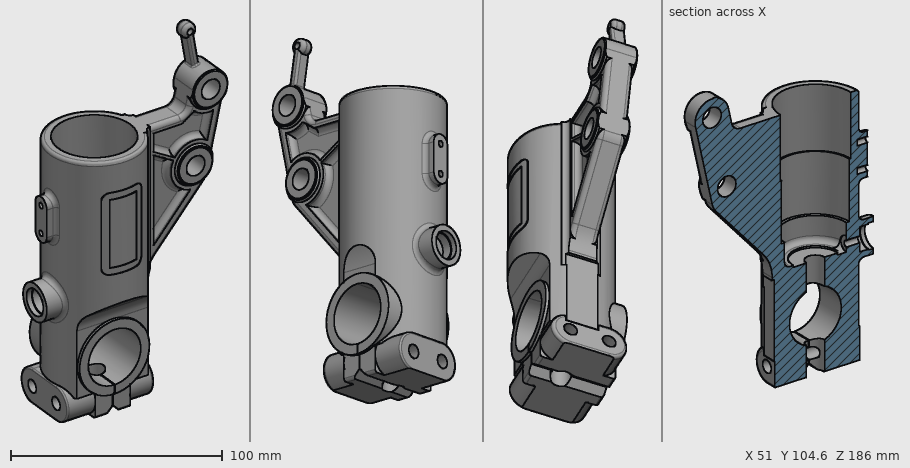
import cadquery as cq
import math

TUBE_R = 25.5
TUBE_TOP = 143.0
TUBE_BASE = 14.0
RIM_FILLET = 1.8
MOUTH_R = 41 / 2
MOUTH_DEPTH = 35.0
BORE_R = 39.5 / 2
SHELF_Z = 75.0
LOWER_BORE_R = 36 / 2
FLOOR_Z = 61.5
FLOOR_FILLET = 3.0
FLOOR_RECESS_R = 13.0
FLOOR_RECESS_DEPTH = 1.0
DRAIN_R = 10.5 / 2

CLAMP_X = -4.0
CLAMP_Z = 31.0
CLAMP_R = 20.0
CLAMP_BORE_R = 15.0
CLAMP_LENGTH = 42.0
SLIT_WIDTH = 0.5
NOTCH_DEPTH = 4.0

LUG_R = 9.5
LUG_Z = 9.0
LUG_PITCH = 20.0
LUG_Y = -1.0
LUG_HALF_Y = 25.0
LUG_FRONT_Y = LUG_Y - LUG_HALF_Y
LUG_REAR_Y = LUG_Y + LUG_HALF_Y
LUG_HOLE_R = 6.8 / 2
LUG_FRONT_FILLET = 0.8
LUG_REAR_FILLET = 1.7
JAW_HALF_Y = 10.0
JAW_HEIGHT = 15.0
JAW_FILLET = 1.5

LEFT_FLAT_X = -23.4
LEFT_HOLLOW_R = 28.0
LEFT_HOLLOW_Z = 54.4
RIGHT_FLAT_X = 15.3
RIGHT_HOLLOW_R = 12.0
RIGHT_HOLLOW_Z = 51.0
RIGHT_ARC_ANGLE = 45.0
RIGHT_HOLLOW_TOP = 65.3
REAR_FLAT_Y = 24.2
REAR_FLAT_Z = 57.0

PORT_Z = 63.7
PORT_R = 10.0
PORT_FACE_Y = -34.0
PORT_MOUTH_R = 7.0
PORT_POCKET_R = 6.5
PORT_MOUTH_DEPTH = 3.0
PORT_POCKET_DEPTH = 8.0
PORT_HOLE_R = 3.3 / 2
PORT_RELIEF_R = 8.5 / 2
PORT_FILLET = 2.8

PAD_Z = 107.6
PAD_PITCH = 15.0
PAD_WIDTH = 9.6
PAD_FACE_Y = -30.5
PAD_HOLE_R = 1.5
PAD_HOLE_DEPTH = 6.0
PAD_FILLET = 2.6

PANEL_Z = 103.7
PANEL_HEIGHT = 44.6
PANEL_WIDTH = 23.0
PANEL_CORNER_R = 4.0
PANEL_GROOVE = 3.8
PANEL_DEPTH = 0.3

BRACKET_X = 0.5
WEB_WIDTH = 14.0
WEB_FILLET = 2.5
EYE_WIDTH = 17.0
EYE_R = 10.0
EYE_HOLE_R = 10.5 / 2
EYE_CHAMFER = 0.6
COLLAR_STEP = 1.0
COLLAR_CHAMFER = 0.9
UPPER_EYE = (60.57, 153.3)
LOWER_EYE = (51.9, 114.5)
WEB_HEEL_R = 10.0
WEB_THROAT_R = 5.0
LOWER_EDGE_OFFSET = 12.35
LOWER_EDGE_ANGLE = 48.2
WEB_TAIL_Z = 50.0
WEB_TAIL_R = 20.0
WEB_ROOT_Y = 15.0
WEB_ROOT_R = 3.0

POCKET_DEPTH = 4.0
POCKET_RIM = 4.2
POCKET_OUTER_RIM = 4.8
POCKET_LOWER_RIM = 5.2
POCKET_FLOOR_FILLET = 2.8
POCKET_ROOT_Y = 28.8
POCKET_THROAT_SETBACK = 3.0
POCKET_THROAT_ANGLE = 33.0
UPPER_LAND_R = 13.0
LOWER_LAND_R = 13.1
RIB_WIDTH = 1.6
RIB_ANGLE = 150.0

ARM_X = -3.6
ARM_WIDTH = 7.0
ARM_THICKNESS = 3.8
ARM_EYE = (55.0, 182.0)
ARM_ROOT = (58.6, 161.0)
ARM_EYE_R = 4.0
ARM_HOLE_R = 3.3 / 2
ARM_FILLET = 1.1
ARM_EYE_FILLET = 2.2
ARM_ROOT_FILLET = 0.9


def cylinder_x(center_yz, radius, center_x, length):
    """Cylinder along X, centred on center_x."""
    start = cq.Vector(center_x - length / 2, *center_yz)
    return cq.Workplane(cq.Solid.makeCylinder(radius, length, start, cq.Vector(1, 0, 0)))


def cylinder_y(x, z, radius, y_from, y_to):
    """Cylinder along Y from y_from up to y_to."""
    start = cq.Vector(x, y_from, z)
    return cq.Workplane(cq.Solid.makeCylinder(radius, y_to - y_from, start, cq.Vector(0, 1, 0)))


def cylinder_z(radius, z_from, z_to):
    """Cylinder on the tube axis."""
    return cq.Workplane("XY", origin=(0, 0, z_from)).circle(radius).extrude(z_to - z_from)


def box_between(low, high):
    """Axis-aligned box from its low corner to its high corner."""
    size = [b - a for a, b in zip(low, high)]
    return cq.Workplane().box(*size, centered=False).translate(low)


def prism_x(points, center_x, width):
    """Polygon of (Y, Z) points extruded along X, centred on center_x."""
    plane = cq.Workplane("YZ", origin=(center_x - width / 2, 0, 0))
    return plane.polyline(points).close().extrude(width)


def line_crossing(point_a, angle_a, point_b, angle_b):
    """Crossing of two lines, each given by a point and a direction in radians."""
    ax, ay = math.cos(angle_a), math.sin(angle_a)
    bx, by = math.cos(angle_b), math.sin(angle_b)
    dx, dy = point_b[0] - point_a[0], point_b[1] - point_a[1]
    along = (dx * by - dy * bx) / (ax * by - ay * bx)
    return (point_a[0] + along * ax, point_a[1] + along * ay)


def beside(point, angle, offset):
    """Point moved sideways, to the right of the direction given by angle."""
    return (point[0] + offset * math.sin(angle), point[1] - offset * math.cos(angle))


EYE_LINE = math.atan2(UPPER_EYE[1] - LOWER_EYE[1], UPPER_EYE[0] - LOWER_EYE[0])
LOWER_LINE = math.radians(LOWER_EDGE_ANGLE)
HORIZONTAL = 0.0
VERTICAL = math.pi / 2


def make_tube():
    """Tube as a solid bar with its hollows; the bores are cut later."""
    tube = cylinder_z(TUBE_R, TUBE_BASE, TUBE_TOP)
    tube = tube.faces(">Z").edges().fillet(RIM_FILLET)
    return tube.cut(left_hollow()).cut(right_hollow())


def left_hollow():
    """Shallow flat above the clamp that runs out upwards along an arc."""
    run_out = math.sqrt(LEFT_HOLLOW_R**2 - (LEFT_HOLLOW_R - TUBE_R - LEFT_FLAT_X) ** 2)
    lower = box_between((-2 * TUBE_R, -TUBE_R, 0), (LEFT_FLAT_X, TUBE_R, LEFT_HOLLOW_Z))
    top_z = LEFT_HOLLOW_Z + run_out
    upper = box_between((-2 * TUBE_R, -TUBE_R, LEFT_HOLLOW_Z), (LEFT_FLAT_X, TUBE_R, top_z))
    arc_x = LEFT_FLAT_X - LEFT_HOLLOW_R
    roller = cylinder_y(arc_x, LEFT_HOLLOW_Z, LEFT_HOLLOW_R, -TUBE_R, TUBE_R)
    return lower.union(upper.intersect(roller))


def right_hollow():
    """Flat that narrows the tube at the clamp, with an arc and a slope up to full size."""
    def on_arc(degrees):
        angle = math.radians(degrees)
        x = RIGHT_FLAT_X + RIGHT_HOLLOW_R * (1 - math.cos(angle))
        return (x, RIGHT_HOLLOW_Z + RIGHT_HOLLOW_R * math.sin(angle))

    return (
        cq.Workplane("XZ", origin=(0, TUBE_R, 0))
        .moveTo(RIGHT_FLAT_X, 0)
        .lineTo(RIGHT_FLAT_X, RIGHT_HOLLOW_Z)
        .threePointArc(on_arc(RIGHT_ARC_ANGLE / 2), on_arc(RIGHT_ARC_ANGLE))
        .lineTo(TUBE_R, RIGHT_HOLLOW_TOP)
        .lineTo(2 * TUBE_R, RIGHT_HOLLOW_TOP)
        .lineTo(2 * TUBE_R, 0)
        .close()
        .extrude(2 * TUBE_R)
    )


def rear_flat():
    """Flat on the +Y side of the foot, below the web."""
    return box_between((-TUBE_R, REAR_FLAT_Y, 0), (TUBE_R, 2 * TUBE_R, REAR_FLAT_Z))


def make_clamp():
    """Clamp ring, the two screw lugs running across it and the jaws below it."""
    ring = cylinder_x((0, CLAMP_Z), CLAMP_R, CLAMP_X, CLAMP_LENGTH)
    lug_length = LUG_PITCH + 2 * LUG_R
    lugs = (
        cq.Workplane("XZ", origin=(CLAMP_X, LUG_REAR_Y, LUG_Z))
        .slot2D(lug_length, 2 * LUG_R)
        .extrude(2 * LUG_HALF_Y)
        .faces("<Y")
        .edges()
        .fillet(LUG_FRONT_FILLET)
        .faces(">Y")
        .edges()
        .fillet(LUG_REAR_FILLET)
    )
    low_x, high_x = CLAMP_X - lug_length / 2, CLAMP_X + lug_length / 2
    lugs = lugs.intersect(box_between((low_x, LUG_FRONT_Y, 0), (high_x, LUG_REAR_Y, LUG_Z + LUG_R)))
    jaws = box_between((low_x, -JAW_HALF_Y, 0), (high_x, JAW_HALF_Y, JAW_HEIGHT))
    jaws = jaws.faces("<X or >X").edges("<Z").fillet(JAW_FILLET)
    return ring.union(lugs).union(jaws)


def make_port_boss():
    return cylinder_y(0, PORT_Z, PORT_R, PORT_FACE_Y, 0)


def make_pad():
    return (
        cq.Workplane("XZ", origin=(0, 0, PAD_Z))
        .slot2D(PAD_PITCH + PAD_WIDTH, PAD_WIDTH, 90)
        .extrude(-PAD_FACE_Y)
    )


def web_outline():
    """Corners of the web in (Y, Z); round corners are added afterwards."""
    top_inner = beside(UPPER_EYE, EYE_LINE, -EYE_R)
    throat = line_crossing(top_inner, EYE_LINE, (0, TUBE_TOP), HORIZONTAL)
    outer = beside(UPPER_EYE, EYE_LINE, EYE_R)
    low_edge = beside(LOWER_EYE, LOWER_LINE, LOWER_EDGE_OFFSET)
    heel = line_crossing(outer, EYE_LINE, low_edge, LOWER_LINE)
    tail = line_crossing(low_edge, LOWER_LINE, (TUBE_R, 0), VERTICAL)
    return throat, top_inner, outer, heel, tail


def web_prism(width):
    """Web outline with its round corners, extruded along X."""
    throat, top_inner, outer, heel, tail = web_outline()
    points = [(WEB_ROOT_Y, TUBE_TOP), throat, top_inner, outer, heel, tail]
    points += [(TUBE_R, WEB_TAIL_Z), (WEB_ROOT_Y, WEB_TAIL_Z)]
    prism = prism_x(points, BRACKET_X, width)
    for corner, radius in ((throat, WEB_THROAT_R), (heel, WEB_HEEL_R), (tail, WEB_TAIL_R)):
        near = cq.selectors.NearestToPointSelector((BRACKET_X, *corner))
        prism = prism.edges("|X").edges(near).fillet(radius)
    return prism


def web_root():
    """Concave flares where the sides of the web meet the tube."""
    half = WEB_WIDTH / 2 + WEB_ROOT_R
    reach = TUBE_R + WEB_ROOT_R
    end_y = math.sqrt(reach**2 - (half - BRACKET_X) ** 2)
    flare = box_between((BRACKET_X - half, WEB_ROOT_Y, 0), (BRACKET_X + half, end_y, TUBE_TOP))
    for x in (BRACKET_X - half, BRACKET_X + half):
        y = math.sqrt(reach**2 - x**2)
        flare = flare.cut(cq.Workplane("XY", origin=(x, y, 0)).circle(WEB_ROOT_R).extrude(TUBE_TOP))
    return flare


def make_web():
    """Web with rounded edges and pockets in both faces."""
    web = web_prism(WEB_WIDTH)
    web = web.faces("<X or >X").edges().fillet(WEB_FILLET)
    for side in (-1, 1):
        web = web.cut(make_pockets(side))
    return web


def make_pockets(side):
    """Upper and lower pocket of one face of the web, with rounded floor edges."""
    throat, _, outer, heel, _ = web_outline()
    outer = beside(outer, EYE_LINE, -POCKET_OUTER_RIM)
    low_edge = beside(heel, LOWER_LINE, -POCKET_LOWER_RIM)
    bend = (throat[0] - POCKET_THROAT_SETBACK, TUBE_TOP - POCKET_RIM)
    bend_line = math.radians(POCKET_THROAT_ANGLE)
    top = (0, TUBE_TOP - POCKET_RIM)
    root = (POCKET_ROOT_Y, 0)
    corners = [
        line_crossing(root, VERTICAL, top, HORIZONTAL),
        bend,
        line_crossing(bend, bend_line, UPPER_EYE, EYE_LINE),
        outer,
        line_crossing(outer, EYE_LINE, low_edge, LOWER_LINE),
        line_crossing(root, VERTICAL, low_edge, LOWER_LINE),
    ]
    center = BRACKET_X + side * (WEB_WIDTH - POCKET_DEPTH) / 2
    tool = prism_x(corners, center, POCKET_DEPTH)
    tool = tool.cut(cylinder_x(UPPER_EYE, UPPER_LAND_R, center, POCKET_DEPTH))
    tool = tool.cut(cylinder_x(LOWER_EYE, LOWER_LAND_R, center, POCKET_DEPTH))
    rib_length = LOWER_EYE[0]
    rib = cq.Workplane().box(POCKET_DEPTH, rib_length, RIB_WIDTH)
    rib = rib.translate((0, rib_length / 2, 0)).rotate((0, 0, 0), (1, 0, 0), RIB_ANGLE)
    tool = tool.cut(rib.translate((center, *LOWER_EYE)))
    floor = "<X" if side > 0 else ">X"
    return tool.faces(floor).edges().fillet(POCKET_FLOOR_FILLET)


def make_eyes():
    eyes = cq.Workplane()
    for center in (UPPER_EYE, LOWER_EYE):
        eye = cylinder_x(center, EYE_R, BRACKET_X, EYE_WIDTH)
        eyes = eyes.add(eye.faces("<X or >X").edges().chamfer(EYE_CHAMFER))
    return eyes.combine()


def make_collars():
    """Conical feet of the eyes on the faces of the web."""
    collars = cq.Workplane()
    for center in (UPPER_EYE, LOWER_EYE):
        collar = cylinder_x(center, EYE_R + COLLAR_STEP, BRACKET_X, WEB_WIDTH + 2 * COLLAR_STEP)
        collars = collars.add(collar.faces("<X or >X").edges().chamfer(COLLAR_CHAMFER))
    return collars.combine().intersect(web_prism(2 * EYE_WIDTH))


def make_arm():
    """Slanted bar with a rounded eye at its tip."""
    rise = math.atan2(ARM_EYE[1] - ARM_ROOT[1], ARM_EYE[0] - ARM_ROOT[0])
    half = ARM_THICKNESS / 2
    points = [
        beside(ARM_ROOT, rise, half),
        beside(ARM_EYE, rise, half),
        beside(ARM_EYE, rise, -half),
        beside(ARM_ROOT, rise, -half),
    ]
    bar = prism_x(points, ARM_X, ARM_WIDTH)
    bar = bar.faces("<X or >X").edges().fillet(ARM_FILLET)
    eye = cylinder_x(ARM_EYE, ARM_EYE_R, ARM_X, ARM_WIDTH)
    return bar.union(eye.faces("<X or >X").edges().fillet(ARM_EYE_FILLET))


def make_pivots():
    """Both eyes, with the arm blended into the upper one."""
    pivots = make_eyes().union(make_arm())
    low = (ARM_X - ARM_WIDTH, UPPER_EYE[0] - EYE_R, UPPER_EYE[1] + EYE_R / 2)
    high = (ARM_X + ARM_WIDTH, UPPER_EYE[0] + EYE_R, UPPER_EYE[1] + EYE_R + ARM_ROOT_FILLET)
    joint = cq.selectors.BoxSelector(low, high, boundingbox=True)
    return pivots.edges(joint).fillet(ARM_ROOT_FILLET)


def cut_bores(body):
    """Stepped bore of the tube with a rounded, recessed floor and a drain hole."""
    body = body.cut(cylinder_z(MOUTH_R, TUBE_TOP - MOUTH_DEPTH, TUBE_TOP))
    body = body.cut(cylinder_z(BORE_R, SHELF_Z, TUBE_TOP))
    lower = cylinder_z(LOWER_BORE_R, FLOOR_Z, TUBE_TOP)
    body = body.cut(lower.faces("<Z").edges().fillet(FLOOR_FILLET))
    body = body.cut(cylinder_z(FLOOR_RECESS_R, FLOOR_Z - FLOOR_RECESS_DEPTH, FLOOR_Z))
    return body.cut(cylinder_z(DRAIN_R, 0, FLOOR_Z))


def cut_clamp(body):
    """Clamp bore, slit and notch, then the screw holes through the lugs."""
    tool_length = 2 * CLAMP_LENGTH
    half_slit = SLIT_WIDTH / 2
    slit_top = CLAMP_Z - CLAMP_BORE_R + NOTCH_DEPTH
    slit = box_between((-CLAMP_LENGTH, -half_slit, 0), (CLAMP_LENGTH, half_slit, slit_top))
    notch = prism_x([(-NOTCH_DEPTH, 0), (NOTCH_DEPTH, 0), (0, NOTCH_DEPTH)], 0, tool_length)
    bore = cylinder_x((0, CLAMP_Z), CLAMP_BORE_R, 0, tool_length)
    body = body.cut(bore.union(slit).union(notch))
    for side in (-1, 1):
        x = CLAMP_X + side * LUG_PITCH / 2
        body = body.cut(cylinder_y(x, LUG_Z, LUG_HOLE_R, LUG_FRONT_Y, LUG_REAR_Y))
    return body


def cut_port(body):
    """Stepped port through the boss, with a relief where it enters the tube bore."""
    body = body.cut(cylinder_y(0, PORT_Z, PORT_MOUTH_R, PORT_FACE_Y, PORT_FACE_Y + PORT_MOUTH_DEPTH))
    body = body.cut(cylinder_y(0, PORT_Z, PORT_POCKET_R, PORT_FACE_Y, PORT_FACE_Y + PORT_POCKET_DEPTH))
    body = body.cut(cylinder_y(0, PORT_Z, PORT_HOLE_R, PORT_FACE_Y, 0))
    return body.cut(cylinder_y(0, PORT_Z, PORT_RELIEF_R, -LOWER_BORE_R, -FLOOR_RECESS_R))


def cut_pad(body):
    """Two blind holes in the pad."""
    for side in (-1, 1):
        z = PAD_Z + side * PAD_PITCH / 2
        body = body.cut(cylinder_y(0, z, PAD_HOLE_R, PAD_FACE_Y, PAD_FACE_Y + PAD_HOLE_DEPTH))
    return body


def cut_panel(body):
    """Rounded rectangular groove of even depth that follows the tube wall."""
    outer = cq.Workplane("YZ", origin=(0, 0, PANEL_Z)).rect(PANEL_WIDTH, PANEL_HEIGHT).extrude(2 * TUBE_R)
    outer = outer.edges("|X").fillet(PANEL_CORNER_R)
    inner = (
        cq.Workplane("YZ", origin=(0, 0, PANEL_Z))
        .rect(PANEL_WIDTH - 2 * PANEL_GROOVE, PANEL_HEIGHT - 2 * PANEL_GROOVE)
        .extrude(2 * TUBE_R)
    )
    return body.cut(outer.cut(inner).cut(cylinder_z(TUBE_R - PANEL_DEPTH, 0, TUBE_TOP)))


def cut_pivot_holes(body):
    """Holes through the two pivot eyes and the small eye of the arm."""
    for center in (UPPER_EYE, LOWER_EYE):
        body = body.cut(cylinder_x(center, EYE_HOLE_R, BRACKET_X, EYE_WIDTH))
    return body.cut(cylinder_x(ARM_EYE, ARM_HOLE_R, ARM_X, ARM_WIDTH))


def fillet_on_tube(body, center_z, half_width, half_height, radius):
    """Round the edges where a boss on the -Y side meets the outside of the tube."""
    deepest_y = -math.sqrt(TUBE_R**2 - half_width**2)
    low = (-half_width - radius, -TUBE_R - radius / 2, center_z - half_height - radius)
    high = (half_width + radius, deepest_y + radius / 2, center_z + half_height + radius)
    return body.edges(cq.selectors.BoxSelector(low, high)).fillet(radius)


body = make_tube()
body = body.union(make_port_boss())
body = fillet_on_tube(body, PORT_Z, PORT_R, PORT_R, PORT_FILLET)
body = body.union(make_pad())
body = fillet_on_tube(body, PAD_Z, PAD_WIDTH / 2, (PAD_PITCH + PAD_WIDTH) / 2, PAD_FILLET)
body = cut_panel(body)
body = body.union(make_web()).union(make_collars())
body = body.union(make_pivots())
body = body.union(web_root().intersect(web_prism(2 * TUBE_R)))
body = body.cut(rear_flat())
body = body.union(make_clamp())
body = cut_pivot_holes(body)
body = cut_clamp(body)
body = cut_bores(body)
body = cut_port(body)
result = cut_pad(body)